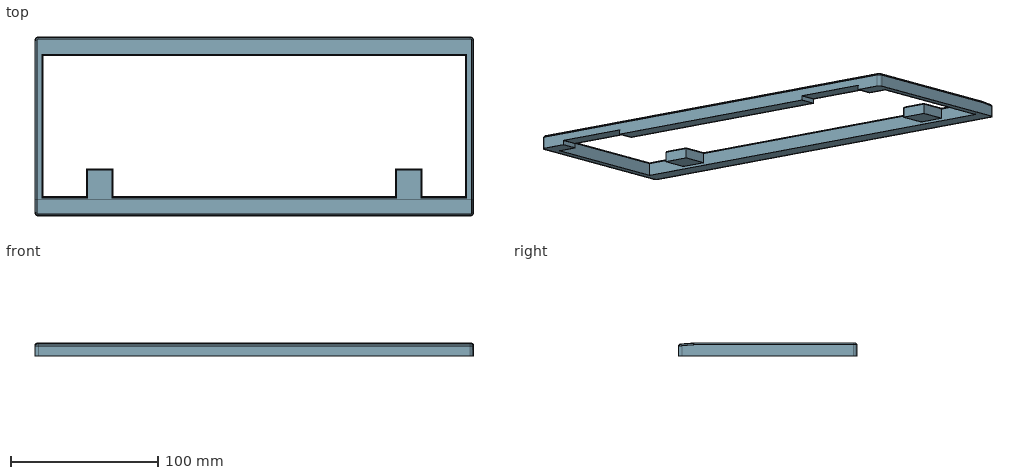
import cadquery as cq

LENGTH = 298.0
WIDTH = 121.5
HEIGHT = 9.0

SIDE_BAR = 5.5
BACK_BAR = 12.5
FRONT_BAR = 13.0

CORNER_RADIUS = 2.5
TOP_CHAMFER = 1.2
INNER_CHAMFER = 0.75

SLOPE_RUN = 11.0
SLOPE_DROP = 1.0

TAB_WIDTH = 18.0
TAB_REACH = 18.8
TAB_THICKNESS = 7.1
TAB_CENTER = 105.0
TAB_CHAMFER = 0.5

NOTCH_INNER = 80.5
NOTCH_OUTER = 130.0
NOTCH_HEIGHT = 3.0

FRONT_Y = -WIDTH / 2
BACK_Y = WIDTH / 2
OPENING_FRONT_Y = FRONT_Y + FRONT_BAR
OPENING_BACK_Y = BACK_Y - BACK_BAR
SIDES = (-1, 1)


def block(x_range, y_range, z_range):
    """Box spanning the given (low, high) ranges."""
    size = [high - low for low, high in (x_range, y_range, z_range)]
    corner = (x_range[0], y_range[0], z_range[0])
    return cq.Workplane("XY").box(*size, centered=False).translate(corner)


def make_outer_body():
    """Plate with a sloped front top, rounded corners and a chamfered rim."""
    profile = [
        (FRONT_Y, 0),
        (BACK_Y, 0),
        (BACK_Y, HEIGHT),
        (FRONT_Y + SLOPE_RUN, HEIGHT),
        (FRONT_Y, HEIGHT - SLOPE_DROP),
    ]
    body = cq.Workplane("YZ").polyline(profile).close().extrude(LENGTH / 2, both=True)
    body = body.edges("|Z").fillet(CORNER_RADIUS)
    inner_top = cq.selectors.BoxSelector(
        (-LENGTH / 4, FRONT_Y + CORNER_RADIUS, 0),
        (LENGTH / 4, BACK_Y - CORNER_RADIUS, 2 * HEIGHT),
    )
    upper_edges = cq.selectors.StringSyntaxSelector("not(<Z or |Z)")
    return body.edges(upper_edges - inner_top).chamfer(TOP_CHAMFER)


def make_opening():
    """Rectangular opening, flared at the top by a small chamfer."""
    half_length = LENGTH / 2 - SIDE_BAR
    opening = block(
        (-half_length, half_length),
        (OPENING_FRONT_Y, OPENING_BACK_Y),
        (0, HEIGHT),
    )
    opening_depth = OPENING_BACK_Y - OPENING_FRONT_Y
    center_y = (OPENING_FRONT_Y + OPENING_BACK_Y) / 2
    flare = (
        cq.Workplane("XY", origin=(0, center_y, HEIGHT))
        .rect(2 * (half_length + INNER_CHAMFER), opening_depth + 2 * INNER_CHAMFER)
        .workplane(offset=-INNER_CHAMFER)
        .rect(2 * half_length, opening_depth)
        .loft(ruled=True)
    )
    return opening.union(flare)


def make_tab(side):
    """Flat tab flush with the frame top, chamfered along its three free top edges."""
    center = side * TAB_CENTER
    tab = block(
        (center - TAB_WIDTH / 2, center + TAB_WIDTH / 2),
        (FRONT_Y + SLOPE_RUN, OPENING_FRONT_Y + TAB_REACH),
        (HEIGHT - TAB_THICKNESS, HEIGHT),
    )
    return tab.faces(">Z").edges("|Y or >Y").chamfer(TAB_CHAMFER)


def make_notch(side):
    """Notch across the underside of the back bar."""
    x_range = sorted((side * NOTCH_INNER, side * NOTCH_OUTER))
    return block(x_range, (OPENING_BACK_Y, BACK_Y), (0, NOTCH_HEIGHT))


result = make_outer_body().cut(make_opening())
for side in SIDES:
    result = result.union(make_tab(side))
    result = result.cut(make_notch(side))